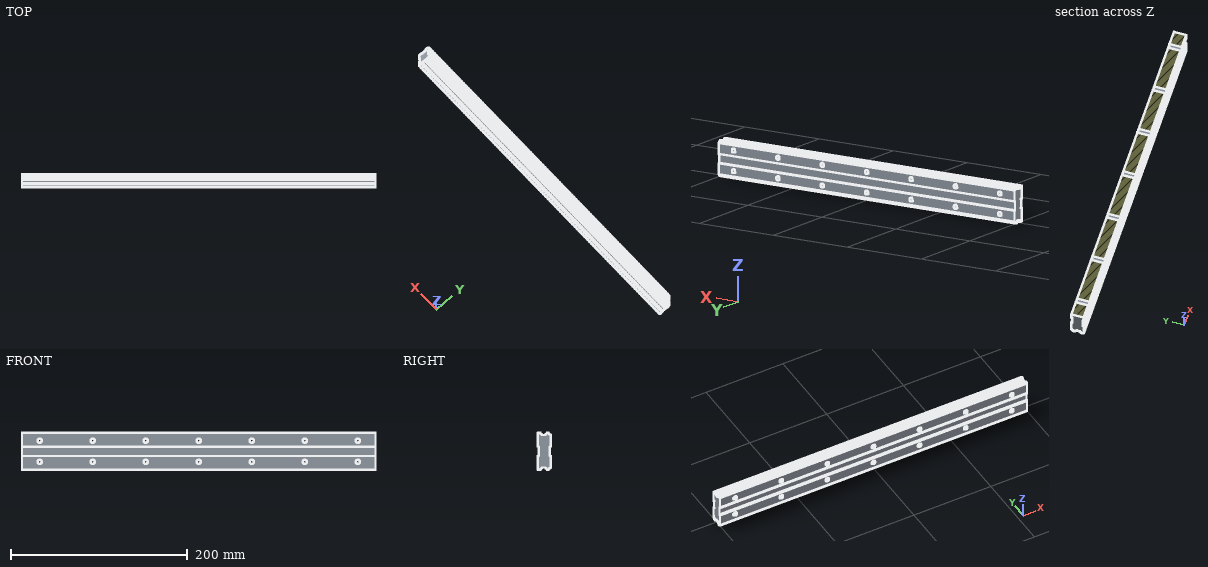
import cadquery as cq
import math

LENGTH = 400.0
THICKNESS = 15.0
WIDTH = 42.0

HEAD_CHAMFER = 2.8
LAND_WIDTH = 1.4
SIDE_DEPTH = 2.5
RACE_MARGIN = 0.7
RACE_SAG = 0.2

FLANGE_THICKNESS = 3.5
FLANGE_ROOT_RADIUS = 1.3
BASE_CHAMFER = 0.4

RELIEF_DEPTH = 1.2
RELIEF_WIDTH = 11.0
RELIEF_WALL_RUN = 0.4

HOLE_DIAMETER = 4.5
HOLE_PITCH = 60.0
HOLES_PER_ROW = 7
ROW_SPACING = 24.0

HEAD = THICKNESS / 2
BASE = -THICKNESS / 2
EDGE = WIDTH / 2
CHANNEL_FLOOR = EDGE - SIDE_DEPTH
FLANGE = BASE + FLANGE_THICKNESS
RELIEF_MOUTH = RELIEF_WIDTH / 2
RELIEF_FLOOR = RELIEF_MOUTH - RELIEF_WALL_RUN
DIAGONAL = math.sqrt(0.5)


def race_slope(sketch, start, end, inward):
    """Draw a 45 degree slope with a shallow ball race hollowed into its middle.

    The pen is already at start; inward is the unit vector pointing into the material.
    """
    step_y = math.copysign(RACE_MARGIN, end[0] - start[0])
    step_z = math.copysign(RACE_MARGIN, end[1] - start[1])
    race_start = (start[0] + step_y, start[1] + step_z)
    race_end = (end[0] - step_y, end[1] - step_z)
    deepest = (
        (start[0] + end[0]) / 2 + RACE_SAG * inward[0],
        (start[1] + end[1]) / 2 + RACE_SAG * inward[1],
    )
    return sketch.lineTo(*race_start).threePointArc(deepest, race_end).lineTo(*end)


def upper_half():
    """The part of the rail above the mid plane Z = 0, with a constant section along X."""
    land_start = (HEAD - HEAD_CHAMFER, EDGE)
    land_end = (land_start[0] - LAND_WIDTH, EDGE)
    undercut_end = (land_end[0] - SIDE_DEPTH, CHANNEL_FLOOR)
    chamfer_start = (HEAD, EDGE - HEAD_CHAMFER)

    sketch = (
        cq.Workplane("YZ", origin=(-LENGTH / 2, 0, 0))
        .moveTo(HEAD - RELIEF_DEPTH, 0)
        .lineTo(HEAD - RELIEF_DEPTH, RELIEF_FLOOR)
        .lineTo(HEAD, RELIEF_MOUTH)
        .lineTo(*chamfer_start)
    )
    sketch = race_slope(sketch, chamfer_start, land_start, (-DIAGONAL, -DIAGONAL))
    sketch = sketch.lineTo(*land_end)
    sketch = race_slope(sketch, land_end, undercut_end, (DIAGONAL, -DIAGONAL))
    return (
        sketch.lineTo(FLANGE + FLANGE_ROOT_RADIUS, CHANNEL_FLOOR)
        .radiusArc((FLANGE, CHANNEL_FLOOR + FLANGE_ROOT_RADIUS), -FLANGE_ROOT_RADIUS)
        .lineTo(FLANGE, EDGE)
        .lineTo(BASE + BASE_CHAMFER, EDGE)
        .lineTo(BASE, EDGE - BASE_CHAMFER)
        .lineTo(BASE, RELIEF_MOUTH)
        .lineTo(BASE + RELIEF_DEPTH, RELIEF_FLOOR)
        .lineTo(BASE + RELIEF_DEPTH, 0)
        .close()
        .extrude(LENGTH)
    )


def rail_body():
    """The full rail, symmetric about the mid plane Z = 0 and centred on the origin."""
    half = upper_half()
    return half.union(half.mirror("XY")).clean()


def mounting_holes():
    """Cylinders for both rows of holes, passing through the full thickness."""
    return (
        cq.Workplane("XZ")
        .rarray(HOLE_PITCH, ROW_SPACING, HOLES_PER_ROW, 2)
        .circle(HOLE_DIAMETER / 2)
        .extrude(THICKNESS, both=True)
    )


result = rail_body().cut(mounting_holes())